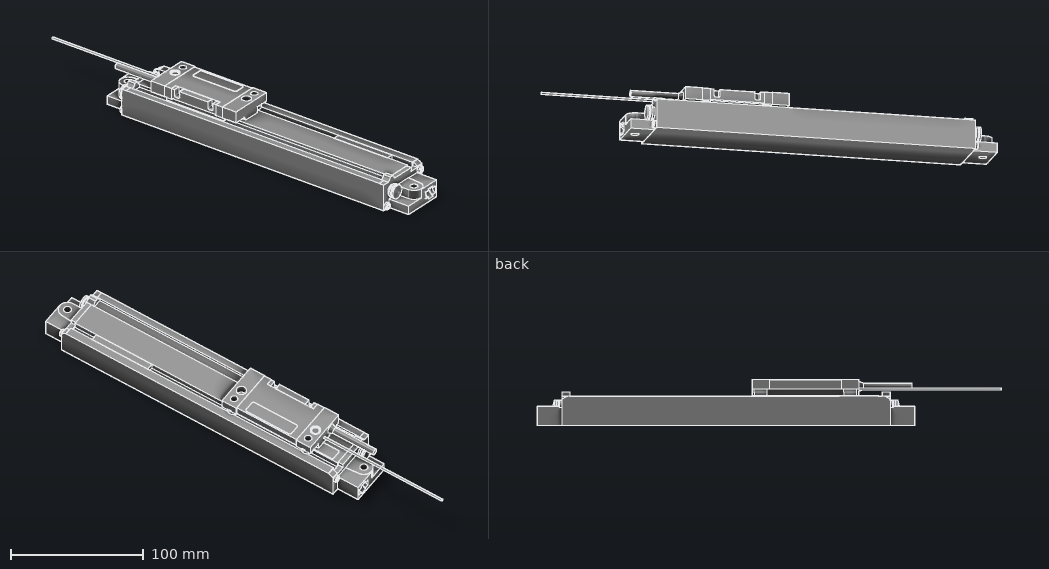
import cadquery as cq


total_length = 350.0
foot_length = 18.5
housing_length = 247.8
housing_end = total_length - foot_length
housing_start = housing_end - housing_length
mid_x = (housing_start + housing_end) / 2

housing_width = 48.0
housing_height = 22.5
end_plate = 4.2
end_step = 0.18
channel_front, channel_back = 5.5, 14.0
channel_depth = 2.5
groove_front, groove_back = 35.7, 41.3
groove_depth = 5.0
strip_start, strip_end = 257.2, 308.0
strip_height = 4.5
notch_front, notch_back = 34.5, 42.5
notch_depth = 3.5
corner_drop = 2.5
label_start, label_end = 92.8, 122.5
label_front, label_back = 25.5, 35.0
label_height = 0.5
label_corner = 1.5

hump_length = 6.3
hump_top = 25.5
hump_flat_front, hump_flat_back = 8.5, 11.5

plug_y, plug_z = 9.8, 14.0
plug_radius = 5.5
plug_neck_radius = 4.5
plug_tip_radius = 0.5
plug_flange_near, plug_flange_far = 1.8, 3.5
plug_disc_near, plug_disc_far = 4.2, 5.5
plug_tip = 7.0
screw_radius = 2.8
screw_length = 2.5
screw_bevel = 0.7
socket_width = 2.5
socket_depth = 1.5
screw_places = [(3.0, 3.0), (44.8, 16.5)]

foot_front, foot_back = 6.5, 41.5
base_height = 7.5
platform_height = 14.7
lug_rise = 0.5
lug_radius = 7.0
lug_y = 23.0
lug_inset = 7.5
lug_flare = 1.0
foot_hole_diameter = 6.0
trough_y, trough_z = 34.3, 7.0
trough_radius, trough_length = 2.8, 12.2
vee_depth, vee_length = 4.5, 5.2

head_start = 107.5
head_length = 80.5
head_end = head_start + head_length
head_front, head_back = 5.2, 43.5
head_top = 35.0
block_length = 13.0
cover_start = head_start + block_length
cover_end = head_end - block_length
cover_back = 42.7
cover_inset = 0.18
cover_top = head_top - cover_inset
cover_front = head_front + cover_inset
head_mid = (head_start + head_end) / 2
front_underside = 25.5
cover_underside = 26.2
middle_underside = 22.8
ramp_front, ramp_back = 16.0, 17.5
rear_step_y, rear_step_z = 32.2, 27.5

guide_radius = 5.0
guide_y = 37.8
guide_bottom = housing_height + label_height
guide_taper_z = 25.5
guide_foot_radius = 4.5

rear_hole_y, rear_hole_diameter = 36.8, 5.5
bolt_y = 27.0
bolt_head_diameter, bolt_head_depth = 7.7, 7.0
bolt_hole_diameter = 4.5
seat_depth, seat_bore_diameter, seat_bore_depth = 0.7, 6.0, 1.5

plate_length, plate_width = 41.3, 10.5
plate_y = 36.0
plate_corner = 1.8
plate_depth = 0.5

ledge_length, ledge_back = 26.5, 11.0
ledge_depth = 0.5
panel_length = 42.0
panel_inset = 0.18
clip_width = 4.5
clip_bottom = 28.5
clip_spacing = 31.5
clip_corner = 1.5

skirt_front_low, skirt_front_high, skirt_back = 7.5, 8.8, 13.3
skirt_bottom = 22.0
skirt_middle_length = 40.5

cable_y, cable_z = 24.5, 27.5
cable_radius = 0.88
tube_start = 67.2
tube_y, tube_z = 16.0, 29.8
tube_radius = 2.5
fitting_length = 3.5
fitting_radius = 4.0


def box(x0, x1, y0, y1, z0, z1):
    """Rectangular block between opposite corners."""
    return cq.Workplane("XY").box(x1 - x0, y1 - y0, z1 - z0, centered=False).translate((x0, y0, z0))


def rod(x0, x1, y, z, radius):
    """Cylinder lying along X."""
    return cq.Workplane("YZ", origin=(x0, y, z)).circle(radius).extrude(x1 - x0)


def cone(x0, x1, y, z, radius0, radius1):
    """Truncated cone lying along X."""
    solid = cq.Solid.makeCone(radius0, radius1, x1 - x0, cq.Vector(x0, y, z), cq.Vector(1, 0, 0))
    return cq.Workplane(obj=solid)


def post(x, y, z0, z1, diameter):
    """Upright cylinder."""
    return cq.Workplane("XY", origin=(x, y, z0)).circle(diameter / 2).extrude(z1 - z0)


def to_right_end(shape):
    """Copy a left-end feature to the right end."""
    return shape.mirror("YZ", (mid_x, 0, 0))


def end_hump():
    """Hump over the plug, with a straight back slope and a hollow front slope."""
    half_rise = (hump_top + housing_height) / 2
    return (
        cq.Workplane("YZ", origin=(housing_start, 0, 0))
        .moveTo(channel_front, housing_height - channel_depth)
        .lineTo(channel_front, housing_height)
        .threePointArc((hump_flat_front - 0.7, half_rise), (hump_flat_front, hump_top))
        .lineTo(hump_flat_back, hump_top)
        .lineTo(channel_back, housing_height)
        .lineTo(channel_back, housing_height - channel_depth)
        .close()
        .extrude(hump_length)
    )


def end_plug():
    """Round plug with two flanges and a conical tip."""
    face = housing_start
    neck = rod(face - plug_disc_far, face, plug_y, plug_z, plug_neck_radius)
    flange = rod(face - plug_flange_far, face - plug_flange_near, plug_y, plug_z, plug_radius)
    disc = rod(face - plug_disc_far, face - plug_disc_near, plug_y, plug_z, plug_radius)
    tip = cone(face - plug_tip, face - plug_disc_far, plug_y, plug_z, plug_tip_radius, plug_radius)
    return neck.union(flange).union(disc).union(tip)


def end_screw(y, z):
    """Bevelled screw head with a hexagon socket."""
    outer = housing_start - screw_length
    head = rod(outer, housing_start, y, z, screw_radius).faces("<X").chamfer(screw_bevel)
    socket = cq.Workplane("YZ", origin=(outer, y, z)).polygon(6, socket_width).extrude(socket_depth)
    return head.cut(socket)


def back_wall_slope():
    """Wedge removed from the top of the back wall at its end."""
    return (
        cq.Workplane("XZ", origin=(0, housing_width, 0))
        .moveTo(housing_start, housing_height)
        .lineTo(housing_start + end_plate, housing_height)
        .lineTo(housing_start, housing_height - corner_drop)
        .close()
        .extrude(housing_width - notch_back)
    )


def make_housing():
    body = box(housing_start, housing_end, 0, housing_width, 0, housing_height)
    slot_start, slot_end = housing_start + end_plate, housing_end - end_plate

    channel_floor = housing_height - channel_depth
    body = body.cut(box(slot_start, slot_end, channel_front, channel_back, channel_floor, housing_height))
    groove_floor = housing_height - groove_depth
    body = body.cut(box(slot_start, slot_end, groove_front, groove_back, groove_floor, housing_height))
    strip_top = groove_floor + strip_height
    body = body.union(box(strip_start, strip_end, groove_front, groove_back, groove_floor, strip_top))

    label_top = housing_height + label_height
    label = box(label_start, label_end, label_front, label_back, housing_height, label_top)
    body = body.union(label.edges("|Z").fillet(label_corner))

    notch_floor = housing_height - notch_depth
    notch = box(housing_start, slot_start, notch_front, notch_back, notch_floor, housing_height)
    end_top = housing_height - end_step
    end_relief = box(housing_start, slot_start, 0, housing_width, end_top, housing_height)
    for removed in (end_relief, notch, back_wall_slope()):
        body = body.cut(removed).cut(to_right_end(removed))

    added_parts = [end_hump(), end_plug()]
    added_parts += [end_screw(y, z) for y, z in screw_places]
    for added in added_parts:
        body = body.union(added).union(to_right_end(added))
    return body


def make_left_foot():
    """Foot with a rounded lug and a half-round trough crossed by a V-groove in its outer face."""
    outer = housing_start - foot_length
    lug_x = outer + lug_inset
    lug_front = lug_y - lug_radius

    foot = box(outer, housing_start, foot_front, foot_back, 0, base_height)
    foot = foot.union(box(outer, housing_start, lug_y, foot_back, 0, platform_height))
    lug = (
        cq.Workplane("XY")
        .moveTo(housing_start, lug_front)
        .lineTo(lug_x, lug_front)
        .threePointArc((lug_x - lug_radius, lug_y), (lug_x, lug_y + lug_radius))
        .lineTo(housing_start, lug_y + lug_radius + lug_flare)
        .close()
        .extrude(platform_height + lug_rise)
    )
    foot = foot.union(lug)
    foot = foot.cut(post(lug_x, lug_y, 0, platform_height + lug_rise, foot_hole_diameter))
    across = cq.Workplane("XZ", origin=(outer, trough_y, trough_z))
    trough = across.circle(trough_radius).extrude(trough_length / 2, both=True)
    vee = (
        across.moveTo(0, -vee_depth)
        .lineTo(vee_depth, 0)
        .lineTo(0, vee_depth)
        .close()
        .extrude(vee_length / 2, both=True)
    )
    return foot.cut(trough).cut(vee)


def head_body():
    """End blocks and cover, cut from one stepped profile."""
    profile = [
        (head_front, front_underside),
        (ramp_front, front_underside),
        (ramp_back, middle_underside),
        (rear_step_y, middle_underside),
        (rear_step_y, rear_step_z),
        (head_back, rear_step_z),
        (head_back, head_top),
        (head_front, head_top),
    ]
    body = cq.Workplane("YZ", origin=(head_start, 0, 0)).polyline(profile).close().extrude(head_length)
    removed_strips = [
        (cover_back, head_back, rear_step_z, head_top),
        (head_front, head_back, cover_top, head_top),
        (head_front, cover_front, front_underside, head_top),
    ]
    for y0, y1, z0, z1 in removed_strips:
        body = body.cut(box(cover_start, cover_end, y0, y1, z0, z1))
    return body


def front_skirt():
    """Sloping skirt below the front of the cover, with a taller middle."""
    profile = [
        (skirt_front_low, skirt_bottom),
        (skirt_back, skirt_bottom),
        (skirt_back, cover_underside),
        (skirt_front_high, cover_underside),
    ]
    return (
        cq.Workplane("YZ", origin=(cover_start, 0, 0))
        .polyline(profile)
        .close()
        .extrude(cover_end - cover_start)
    )


def guide(x):
    """Round guide with a tapered lower end."""
    upper = post(x, guide_y, guide_taper_z, rear_step_z, 2 * guide_radius)
    taper = cq.Solid.makeCone(
        guide_foot_radius, guide_radius, guide_taper_z - guide_bottom, cq.Vector(x, guide_y, guide_bottom)
    )
    return upper.union(cq.Workplane(obj=taper))


def make_head():
    head = head_body()

    middle_start = head_mid - skirt_middle_length / 2
    middle_end = head_mid + skirt_middle_length / 2
    head = head.cut(box(middle_start, middle_end, head_front, skirt_back, front_underside, cover_underside))
    head = head.union(front_skirt())

    left_x, right_x = head_start + block_length / 2, head_end - block_length / 2
    for x in (left_x, right_x):
        head = head.union(guide(x))
        head = head.cut(post(x, rear_hole_y, guide_bottom, head_top, rear_hole_diameter))

    head = head.cut(post(right_x, bolt_y, middle_underside, head_top, bolt_hole_diameter))
    head = head.cut(post(right_x, bolt_y, head_top - bolt_head_depth, head_top, bolt_head_diameter))
    head = head.cut(post(left_x, bolt_y, head_top - seat_depth, head_top, bolt_head_diameter))
    head = head.cut(post(left_x, bolt_y, head_top - seat_bore_depth, head_top, seat_bore_diameter))

    plate = (
        cq.Workplane("XY", origin=(head_mid, plate_y, cover_top - plate_depth))
        .rect(plate_length, plate_width)
        .extrude(plate_depth)
        .edges("|Z")
        .fillet(plate_corner)
    )
    head = head.cut(plate)

    panel_start, panel_end = head_mid - panel_length / 2, head_mid + panel_length / 2
    panel_front = cover_front + panel_inset
    head = head.cut(box(panel_start, panel_end, cover_front, panel_front, cover_underside, cover_top))
    panel_top = cover_top - panel_inset
    head = head.cut(box(panel_start, panel_end, cover_front, ledge_back, panel_top, cover_top))

    ledge_start, ledge_end = head_mid - ledge_length / 2, head_mid + ledge_length / 2
    head = head.cut(box(ledge_start, ledge_end, head_front, ledge_back, cover_top - ledge_depth, cover_top))
    for side in (-1, 1):
        clip_x = head_mid + side * clip_spacing / 2
        left, right = clip_x - clip_width / 2, clip_x + clip_width / 2
        pocket = box(left, right, head_front, ledge_back, clip_bottom, head_top)
        head = head.cut(pocket.edges("|Y and <Z").fillet(clip_corner))

    head = head.union(rod(0, head_start, cable_y, cable_z, cable_radius))
    head = head.union(rod(tube_start, head_start, tube_y, tube_z, tube_radius))
    fitting = cone(head_start - fitting_length, head_start, tube_y, tube_z, tube_radius, fitting_radius)
    return head.union(fitting)


housing = make_housing()
left_foot = make_left_foot()
feet = [left_foot, to_right_end(left_foot)]
head = make_head()

result = cq.Compound.makeCompound([housing.val(), *[foot.val() for foot in feet], head.val()])